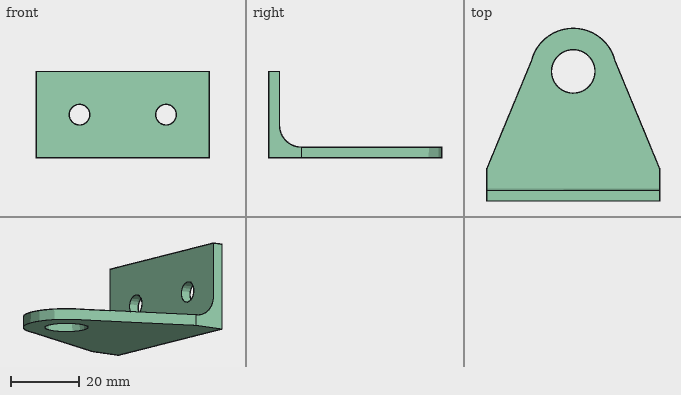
import cadquery as cq
import math

width = 50.8
depth = 50.8
height = 25.4
thickness = 3.2
bend_radius = 6.35
eye_radius = 12.7
eye_hole_diameter = 12.7
mount_hole_diameter = 6.0
mount_hole_spacing = 25.4
shoulder_offset = 3.05

half_width = width / 2
bend_end = thickness + bend_radius
eye_center_y = depth - eye_radius
shoulder_x = math.sqrt(eye_radius**2 - shoulder_offset**2)
shoulder_y = eye_center_y + shoulder_offset


def make_angle():
    """L-shaped section with a rounded inside corner, extruded across the width."""
    return (
        cq.Workplane("YZ")
        .moveTo(0, 0)
        .lineTo(depth, 0)
        .lineTo(depth, thickness)
        .lineTo(bend_end, thickness)
        .radiusArc((thickness, bend_end), bend_radius)
        .lineTo(thickness, height)
        .lineTo(0, height)
        .close()
        .extrude(half_width, both=True)
    )


def make_plan_outline():
    """Full-width base that tapers to a round eye, as tall as the part."""
    return (
        cq.Workplane("XY")
        .moveTo(-half_width, 0)
        .lineTo(half_width, 0)
        .lineTo(half_width, bend_end)
        .lineTo(shoulder_x, shoulder_y)
        .threePointArc((0, depth), (-shoulder_x, shoulder_y))
        .lineTo(-half_width, bend_end)
        .close()
        .extrude(height)
    )


def make_eye_hole():
    return cq.Workplane("XY").center(0, eye_center_y).circle(eye_hole_diameter / 2).extrude(thickness)


def make_mount_holes():
    """Pair of holes through the upright plate at mid-height."""
    half_spacing = mount_hole_spacing / 2
    return (
        cq.Workplane("XZ")
        .pushPoints([(-half_spacing, height / 2), (half_spacing, height / 2)])
        .circle(mount_hole_diameter / 2)
        .extrude(-bend_end)
    )


result = make_angle().intersect(make_plan_outline()).cut(make_eye_hole()).cut(make_mount_holes())